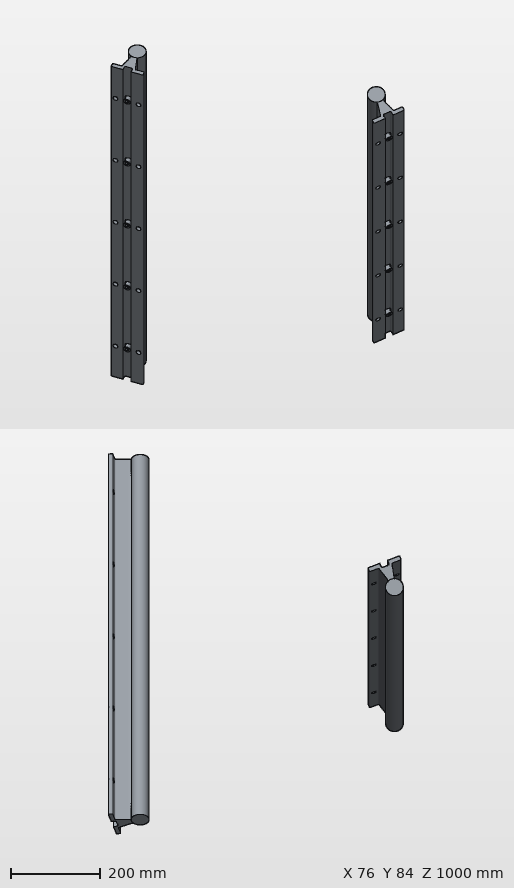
import cadquery as cq
import math

length = 1000.0
base_width = 76.0
flange_thickness = 10.0
lower_corner_radius = 1.5
upper_corner_radius = 2.5

neck_top_width = 16.0
neck_bottom_width = 32.0
neck_slope_top_y = 40.5
neck_fillet_radius = 3.0
neck_blend_radius = 8.0

groove_width = 19.0
groove_depth = 11.0
groove_floor_radius = 3.0
spotface_diameter = 18.0

total_depth = 84.0
shaft_diameter = 40.0
shaft_inset = 1.0

screw_count = 5
mount_hole_diameter = 11.0
mount_hole_spacing = 55.0

screw_diameter = 8.0
screw_head_diameter = 15.0
screw_depth_in_shaft = 15.0
socket_width = 7.0
socket_depth = 6.0

shaft_radius = shaft_diameter / 2
shaft_center_y = total_depth - shaft_radius
shaft_bottom_y = shaft_center_y - shaft_radius
saddle_edge_y = shaft_center_y - math.sqrt(shaft_radius**2 - (neck_top_width / 2) ** 2)
screw_tip_y = shaft_bottom_y + screw_depth_in_shaft
screw_pitch = length / screw_count
screw_heights = [(i + 0.5) * screw_pitch for i in range(screw_count)]


def rod_along_y(diameter, x, z, y_start, y_end):
    """Cylinder at (x, z) running along Y from y_start to y_end."""
    base = cq.Vector(x, y_start, z)
    direction = cq.Vector(0, 1, 0)
    return cq.Workplane(cq.Solid.makeCylinder(diameter / 2, y_end - y_start, base, direction))


def fillet_lengthwise(body, half_width, y, radius):
    """Round the two lengthwise edges at x = -half_width and x = half_width."""
    for x in (-half_width, half_width):
        nearest_edge = cq.selectors.NearestToPointSelector((x, y, length / 2))
        body = body.edges("|Z").edges(nearest_edge).fillet(radius)
    return body


def make_shaft():
    shaft = (
        cq.Workplane("XY", origin=(0, shaft_center_y, shaft_inset))
        .circle(shaft_radius)
        .extrude(length - shaft_inset)
    )
    for z in screw_heights:
        shaft = shaft.cut(rod_along_y(screw_diameter, 0, z, shaft_bottom_y, screw_tip_y))
    return shaft


def make_support_profile():
    """Extruded flange and neck with the groove below and the shaft saddle on top."""
    base_half = base_width / 2
    groove_half = groove_width / 2
    neck_top_half = neck_top_width / 2
    neck_bottom_half = neck_bottom_width / 2
    profile = (
        cq.Workplane("XY")
        .moveTo(-base_half, 0)
        .lineTo(-groove_half, 0)
        .lineTo(-groove_half, groove_depth)
        .lineTo(groove_half, groove_depth)
        .lineTo(groove_half, 0)
        .lineTo(base_half, 0)
        .lineTo(base_half, flange_thickness)
        .lineTo(neck_bottom_half, flange_thickness)
        .lineTo(neck_top_half, neck_slope_top_y)
        .lineTo(neck_top_half, saddle_edge_y)
        .threePointArc((0, shaft_bottom_y), (-neck_top_half, saddle_edge_y))
        .lineTo(-neck_top_half, neck_slope_top_y)
        .lineTo(-neck_bottom_half, flange_thickness)
        .lineTo(-base_half, flange_thickness)
        .close()
        .extrude(length)
    )
    profile = fillet_lengthwise(profile, base_half, 0, lower_corner_radius)
    profile = fillet_lengthwise(profile, base_half, flange_thickness, upper_corner_radius)
    profile = fillet_lengthwise(profile, neck_bottom_half, flange_thickness, neck_fillet_radius)
    profile = fillet_lengthwise(profile, neck_top_half, neck_slope_top_y, neck_blend_radius)
    return fillet_lengthwise(profile, groove_half, groove_depth, groove_floor_radius)


def make_support():
    support = make_support_profile()
    for z in screw_heights:
        support = support.cut(rod_along_y(spotface_diameter, 0, z, 0, groove_depth))
        support = support.cut(rod_along_y(screw_diameter, 0, z, groove_depth, screw_tip_y))
        for x in (-mount_hole_spacing / 2, mount_hole_spacing / 2):
            support = support.cut(rod_along_y(mount_hole_diameter, x, z, 0, flange_thickness))
    return support


def make_screw(z):
    """Socket-head screw whose head fills the depth of the groove."""
    head = rod_along_y(screw_head_diameter, 0, z, 0, groove_depth)
    shank = rod_along_y(screw_diameter, 0, z, groove_depth, screw_tip_y)
    socket = (
        cq.Workplane("XZ", origin=(0, 0, z))
        .polygon(6, socket_width, circumscribed=True)
        .extrude(-socket_depth)
    )
    return head.union(shank).cut(socket)


shaft = make_shaft()
support = make_support()
screws = [make_screw(z) for z in screw_heights]

result = cq.Compound.makeCompound([shaft.val(), support.val(), *[screw.val() for screw in screws]])